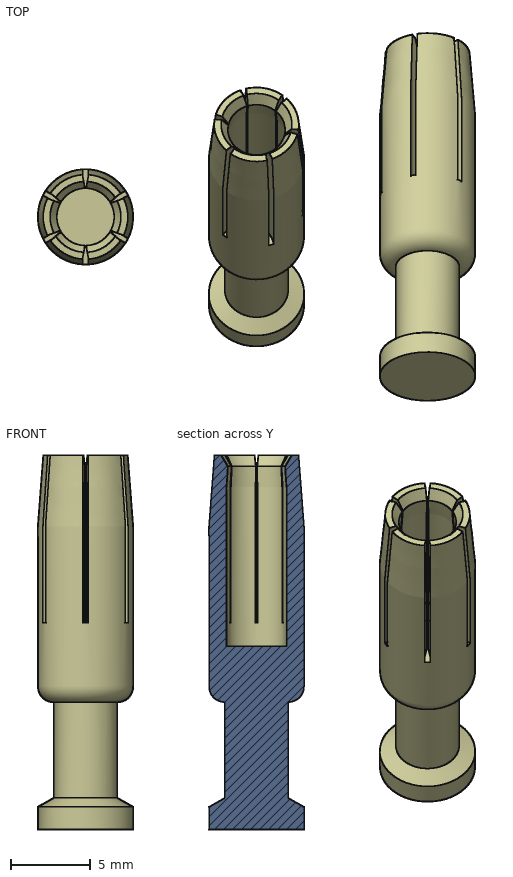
import cadquery as cq

length = 23.5
barrel_diameter = 6.0
stem_diameter = 4.0

flange_height = 1.43
stem_bottom = 2.0
barrel_bottom = 8.0

tip_diameter = 5.3
mouth_diameter = 4.45
neck_depth = 0.7
neck_diameter = 3.6
bend_depth = 2.0
bend_outer_diameter = 5.62
taper_depth = 4.5
bore_diameter = 3.75
bore_depth = 11.98

slot_count = 6
slot_depth = 10.5
slot_outer_width = 0.33
slot_inner_width = 0.07
slot_narrowing_radius = 2.5

barrel_radius = barrel_diameter / 2
stem_radius = stem_diameter / 2
neck_radius = neck_diameter / 2


def revolve_about_z(outline):
    """Turn a closed radius-height outline about the part axis."""
    return outline.close().revolve(360, (0, 0, 0), (0, 1, 0))


def make_body():
    """Outside of the contact: flange, stem, rounded barrel and tapered mouth."""
    round_radius = barrel_radius - stem_radius
    outline = (
        cq.Workplane("XZ")
        .lineTo(barrel_radius, 0)
        .lineTo(barrel_radius, flange_height)
        .lineTo(stem_radius, stem_bottom)
        .lineTo(stem_radius, barrel_bottom)
        .radiusArc((barrel_radius, barrel_bottom + round_radius), -round_radius)
        .lineTo(barrel_radius, length - taper_depth)
        .lineTo(bend_outer_diameter / 2, length - bend_depth)
        .lineTo(tip_diameter / 2, length)
        .lineTo(0, length)
    )
    return revolve_about_z(outline)


def make_bore():
    """Cutter for the blind bore: lead-in cone, neck, then widening to the straight bore."""
    outline = (
        cq.Workplane("XZ")
        .moveTo(0, length - bore_depth)
        .lineTo(bore_diameter / 2, length - bore_depth)
        .lineTo(bore_diameter / 2, length - bend_depth)
        .lineTo(neck_radius, length - neck_depth)
        .lineTo(mouth_diameter / 2, length)
        .lineTo(0, length)
    )
    return revolve_about_z(outline)


def make_slots():
    """Cutters for the finger slots, evenly spaced with the first one pointing along +Y."""
    slot = (
        cq.Workplane("XY")
        .workplane(offset=length - slot_depth)
        .moveTo(-slot_inner_width / 2, neck_radius)
        .lineTo(-slot_outer_width / 2, slot_narrowing_radius)
        .lineTo(-slot_outer_width / 2, barrel_diameter)
        .lineTo(slot_outer_width / 2, barrel_diameter)
        .lineTo(slot_outer_width / 2, slot_narrowing_radius)
        .lineTo(slot_inner_width / 2, neck_radius)
        .close()
        .extrude(slot_depth)
    )
    slots = slot
    for index in range(1, slot_count):
        slots = slots.union(slot.rotate((0, 0, 0), (0, 0, 1), index * 360 / slot_count))
    return slots


result = make_body().cut(make_bore()).cut(make_slots())